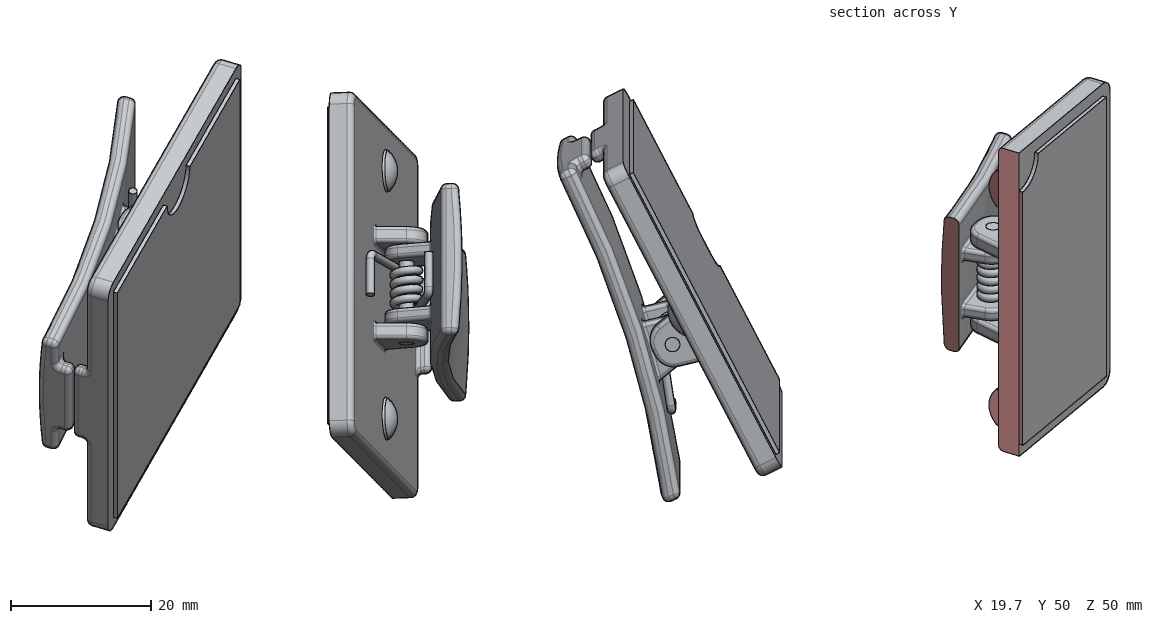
import cadquery as cq
import math


SIDE = 50.0
HALF = SIDE / 2
EDGE_ROUND = 0.9
SMALL = 0.1
RIM_REACH = 0.3

PLATE_THICKNESS = 3.5
PLATE_CORNER = 2.0
PLATE_LIP_REACH = 2.0
PLATE_LIP_THICKNESS = 1.9
PLATE_LIP_HALF_HEIGHT = 6.9

PAD_SIDE = 46.0
PAD_THICKNESS = 0.6
PAD_NOTCH_RADIUS = 4.25

JAW_HEIGHT = 22.0
JAW_RADIUS = 150.0
JAW_CROWN_X = -7.4
JAW_THICKNESS = 3.0
JAW_BULGE = 0.55
JAW_INNER_X = JAW_CROWN_X + JAW_THICKNESS
JAW_LIP_REACH = 2.1
JAW_LIP_THICKNESS = 2.1
JAW_LIP_HALF_HEIGHT = 6.35
SWEEP_MARGIN = 1.1

LIP_OVERLAP = 0.5
LIP_ROOT_ROUND = 0.6
LIP_BACK_ROUND = 0.8

PIN_X = -3.9
PIN_Y = 5.05
PIN_RADIUS = 1.05
EAR_TIP = 3.0
EAR_ROUND = 3.0
EAR_ROOT_HALF = 4.4
EAR_TAPER = 12.8
EAR_EDGE = 0.55
EAR_ROOT_ROUND = 0.4
PLATE_EAR_Z = (5.8, 8.2)
JAW_EAR_Z = (3.65, 5.65)
JAW_EAR_ROOT = 5.3
JAW_EAR_ROOT_X = -6.4
PLATE_EAR_ROOT = -PIN_X + 1.0

WIRE_RADIUS = 0.6
COIL_RADIUS = 1.75
COIL_TOP = 3.0
FULL_TURNS = 4
JAW_LEG_TILT = 18.5
PLATE_LEG_TILT = 8.0
JAW_LEG_LENGTH = 9.9
PLATE_LEG_LENGTH = 9.9
BEND_RADIUS = 0.9
HOOK_LENGTH = 6.0

RIVET_Z = 18.0
RIVET_RADIUS = 3.05
RIVET_DOME_RADIUS = 2.9
RIVET_RIM = 0.35
RIVET_HEIGHT = 1.6


def box(x_range, y_range, z_range):
    """Axis-aligned block between the given limits."""
    sizes = [high - low for low, high in (x_range, y_range, z_range)]
    start = (x_range[0], y_range[0], z_range[0])
    return cq.Workplane("XY").box(*sizes, centered=False).translate(start)


def near(x_range, y_range, z_range):
    """Selector for edges whose centre lies between the given limits."""
    return cq.selectors.BoxSelector(*zip(x_range, y_range, z_range))


def ear(root, direction, z_range):
    """Tapered hinge ear; direction is the X sense from its root to its tip."""
    slope = math.tan(math.radians(EAR_TAPER))
    half_at_pin = EAR_ROOT_HALF + slope * PIN_X
    root_half = half_at_pin + slope * root
    tip_half = half_at_pin - slope * EAR_TIP
    outline = [
        (PIN_X - direction * root, PIN_Y - root_half),
        (PIN_X + direction * EAR_TIP, PIN_Y - tip_half),
        (PIN_X + direction * EAR_TIP, PIN_Y + tip_half),
        (PIN_X - direction * root, PIN_Y + root_half),
    ]
    low, high = z_range
    body = cq.Workplane("XY").workplane(offset=low).polyline(outline).close().extrude(high - low)
    tip_side = ">X" if direction > 0 else "<X"
    body = body.faces(tip_side).edges("|Z").fillet(EAR_ROUND)
    return body.faces("<Z or >Z").edges().fillet(EAR_EDGE)


def ear_pair(root, direction, z_range):
    """The same ear above and below the coil."""
    upper = ear(root, direction, z_range)
    return [upper, upper.mirror("XY")]


def pin_cylinder():
    """Cylinder of the hinge pin, flush with the outer faces of the plate ears."""
    return cq.Workplane("XY").center(PIN_X, PIN_Y).circle(PIN_RADIUS).extrude(PLATE_EAR_Z[1], both=True)


def add_lip(body, base_x, reach, thickness, half_height):
    """Add a rounded gripping lip along the -Y end of the body, standing off its face at base_x."""
    back = thickness - HALF
    tip = base_x + reach
    buried = base_x - math.copysign(LIP_OVERLAP, reach)
    lip = box(sorted((buried, tip)), (-HALF, back), (-half_height, half_height))
    body = body.union(lip)
    at_tip = (tip - SMALL, tip + SMALL)
    at_root = (base_x - SMALL, base_x + SMALL)
    lip_depth = (-HALF - SMALL, back + SMALL)
    lip_span = (-half_height - SMALL, half_height + SMALL)
    body = body.edges(near(at_tip, lip_depth, lip_span)).edges("|Y").fillet(EDGE_ROUND)
    off_end = (-HALF + SMALL, back + SMALL)
    body = body.edges(near(at_root, off_end, lip_span)).fillet(LIP_ROOT_ROUND)
    tip_back = sorted((base_x + reach / 4, tip + math.copysign(SMALL, reach)))
    return body.edges(near(tip_back, (back - SMALL, back + SMALL), lip_span)).fillet(LIP_BACK_ROUND)


def make_plate():
    """Square plate with its gripping lip and two hinge ears."""
    body = box((0, PLATE_THICKNESS), (-HALF, HALF), (-HALF, HALF))
    body = body.edges("|X").fillet(PLATE_CORNER)
    body = add_lip(body, 0, -PLATE_LIP_REACH, PLATE_LIP_THICKNESS, PLATE_LIP_HALF_HEIGHT)
    rim_x = (-PLATE_LIP_REACH - SMALL, SMALL)
    front_rim = body.edges(near(rim_x, (-HALF - SMALL, SMALL - HALF), (-HALF, HALF)))
    body = front_rim.fillet(EDGE_ROUND)
    for one_ear in ear_pair(PLATE_EAR_ROOT, -1, PLATE_EAR_Z):
        body = body.union(one_ear)
    ear_z = PLATE_EAR_Z[1] + SMALL
    ear_y = (PIN_Y - EAR_ROOT_HALF - SMALL, PIN_Y + EAR_ROOT_HALF + SMALL)
    body = body.edges(near((-SMALL, SMALL), ear_y, (-ear_z, ear_z))).fillet(EAR_ROOT_ROUND)
    return body.cut(pin_cylinder())


def make_pad():
    """Thin square pad on the plate's back with a half-round notch in its +Z edge."""
    half_pad = PAD_SIDE / 2
    x_range = (PLATE_THICKNESS, PLATE_THICKNESS + PAD_THICKNESS)
    pad = box(x_range, (-half_pad, half_pad), (-half_pad, half_pad))
    notch = cq.Workplane("YZ").center(0, half_pad).circle(PAD_NOTCH_RADIUS).extrude(SIDE)
    return pad.cut(notch)


def make_jaw():
    """Curved jaw with a crowned outer face, its gripping lip and two hinge ears."""
    half_height = JAW_HEIGHT / 2
    edge_x = JAW_CROWN_X + JAW_BULGE
    axis_x = JAW_CROWN_X - JAW_RADIUS
    section = (
        cq.Workplane("XZ", origin=(0, -HALF, 0))
        .moveTo(JAW_INNER_X, -half_height)
        .lineTo(edge_x, -half_height)
        .threePointArc((JAW_CROWN_X, 0), (edge_x, half_height))
        .lineTo(JAW_INNER_X, half_height)
        .close()
    )
    sweep = SWEEP_MARGIN * math.degrees(math.asin(SIDE / JAW_RADIUS))
    body = section.revolve(sweep, (axis_x, 0, 0), (axis_x, 1, 0))
    body = body.intersect(box((-SIDE, 0), (-HALF, HALF), (-SIDE, SIDE)))
    body = add_lip(body, JAW_INNER_X, JAW_LIP_REACH, JAW_LIP_THICKNESS, JAW_LIP_HALF_HEIGHT)

    rim = []
    for band_y in (-HALF, 0, HALF):
        y_range = (band_y - RIM_REACH, band_y + RIM_REACH)
        rim += body.edges(near((-SIDE, 0), y_range, (-HALF, HALF))).vals()
    body = body.newObject(rim).fillet(EDGE_ROUND)

    for one_ear in ear_pair(JAW_EAR_ROOT, 1, JAW_EAR_Z):
        body = body.union(one_ear)
    ear_z = JAW_EAR_Z[1] + SMALL
    root_x = (PIN_X - JAW_EAR_ROOT, JAW_EAR_ROOT_X)
    root_y = (PIN_Y - JAW_EAR_ROOT, PIN_Y + JAW_EAR_ROOT)
    body = body.edges(near(root_x, root_y, (-ear_z, ear_z))).fillet(EAR_ROOT_ROUND)
    return body.cut(pin_cylinder())


def make_pin():
    """Hinge pin through all four ears."""
    return pin_cylinder()


def make_rivet(z):
    """Domed rivet head with a narrow tapered rim, seated on the plate."""
    dome_height = RIVET_HEIGHT - RIVET_RIM
    sphere_radius = (dome_height ** 2 + RIVET_DOME_RADIUS ** 2) / (2 * dome_height)
    centre_x = sphere_radius - RIVET_HEIGHT
    mid_angle = math.asin(RIVET_DOME_RADIUS / sphere_radius) / 2
    mid = (centre_x - sphere_radius * math.cos(mid_angle), sphere_radius * math.sin(mid_angle))
    profile = (
        cq.Workplane("XY")
        .lineTo(0, RIVET_RADIUS)
        .lineTo(-RIVET_RIM, RIVET_DOME_RADIUS)
        .threePointArc(mid, (-RIVET_HEIGHT, 0))
        .close()
    )
    return profile.revolve(360, (0, 0, 0), (1, 0, 0)).translate((0, 0, z))


def spring_leg(start, out, length, hook):
    """Edges of a leg: straight along out, a quarter bend, then a hook along the hook direction."""
    bend = start + out * length
    corner = bend + out * BEND_RADIUS
    hook_start = corner + hook * BEND_RADIUS
    mid = bend + hook * BEND_RADIUS + (out - hook) * (BEND_RADIUS * math.sqrt(0.5))
    tip = corner + hook * HOOK_LENGTH
    return [
        cq.Edge.makeLine(start, bend),
        cq.Edge.makeThreePointArc(bend, mid, hook_start),
        cq.Edge.makeLine(hook_start, tip),
    ]


def make_spring():
    """Coil about the pin whose two legs lean against jaw and plate and hook across the coil."""
    jaw_tilt = math.radians(JAW_LEG_TILT)
    plate_tilt = math.radians(PLATE_LEG_TILT)
    up = cq.Vector(0, 0, 1)
    jaw_out = cq.Vector(-math.sin(jaw_tilt), math.cos(jaw_tilt), 0)
    plate_out = cq.Vector(math.sin(plate_tilt), math.cos(plate_tilt), 0)
    jaw_radial = cq.Vector(-math.cos(jaw_tilt), -math.sin(jaw_tilt), 0)
    plate_radial = cq.Vector(math.cos(plate_tilt), -math.sin(plate_tilt), 0)
    jaw_start = jaw_radial * COIL_RADIUS - up * COIL_TOP
    plate_start = plate_radial * COIL_RADIUS + up * COIL_TOP

    start_angle = 180 + JAW_LEG_TILT
    turns = FULL_TURNS + (360 - PLATE_LEG_TILT - start_angle) / 360
    helix = cq.Wire.makeHelix(2 * COIL_TOP / turns, 2 * COIL_TOP, COIL_RADIUS)
    helix = helix.rotate(cq.Vector(), up, start_angle).translate(-up * COIL_TOP)

    jaw_leg = spring_leg(jaw_start, jaw_out, JAW_LEG_LENGTH, up)
    plate_leg = spring_leg(plate_start, plate_out, PLATE_LEG_LENGTH, -up)
    path = cq.Wire.assembleEdges(jaw_leg[::-1] + helix.Edges() + plate_leg)
    tip = jaw_leg[-1].endPoint()
    wire = cq.Workplane("XY", origin=tip.toTuple()).circle(WIRE_RADIUS)
    return wire.sweep(cq.Workplane(path), transition="transformed").translate((PIN_X, PIN_Y, 0))


plate = make_plate()
pad = make_pad()
jaw = make_jaw()
pin = make_pin()
spring = make_spring()
rivets = [make_rivet(z) for z in (RIVET_Z, -RIVET_Z)]
bodies = [plate, pad, jaw, pin, spring] + rivets
result = cq.Compound.makeCompound([body.val() for body in bodies])